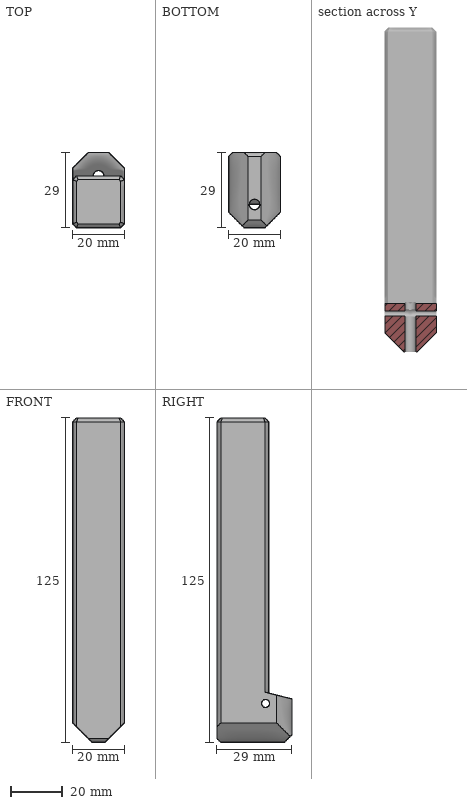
import cadquery as cq

width = 20.0
bar_depth = 20.0
foot_depth = 29.0
height = 125.0

edge_chamfer = 1.5
bottom_side_chamfer = 7.5
heel_side_chamfer = 6.0
heel_bottom_chamfer = 3.0

shoulder_root_height = 19.4
shoulder_heel_height = 16.8
bar_back_flat = bar_depth - edge_chamfer

cross_hole_diameter = 3.0
cross_hole_y = 18.8
cross_hole_height = 15.0
upright_hole_diameter = 4.0
upright_hole_y = bar_depth


def make_bar():
    """Square upright bar with bevelled long edges and top edges."""
    bar = cq.Workplane("XY").box(width, bar_depth, height, centered=(True, False, False))
    return bar.edges("|Z").chamfer(edge_chamfer).faces(">Z").chamfer(edge_chamfer)


def make_foot():
    """Foot under the bar, extended backward to a heel with bevelled sides."""
    shoulder_profile = [
        (edge_chamfer, 0),
        (foot_depth, 0),
        (foot_depth, shoulder_heel_height),
        (bar_back_flat, shoulder_root_height),
        (edge_chamfer, shoulder_root_height),
    ]
    foot = cq.Workplane("YZ").polyline(shoulder_profile).close().extrude(width / 2, both=True)
    return foot.faces(">Y").edges("|Z").chamfer(heel_side_chamfer)


def make_lower_limit():
    """Space left inside the side, front and heel bevels along the bottom."""
    front_profile = [
        (-width / 2, height),
        (-width / 2, bottom_side_chamfer),
        (bottom_side_chamfer - width / 2, 0),
        (width / 2 - bottom_side_chamfer, 0),
        (width / 2, bottom_side_chamfer),
        (width / 2, height),
    ]
    side_profile = [
        (0, height),
        (0, edge_chamfer),
        (edge_chamfer, 0),
        (foot_depth - heel_bottom_chamfer, 0),
        (foot_depth, heel_bottom_chamfer),
        (foot_depth, height),
    ]
    side_limit = cq.Workplane("XZ").polyline(front_profile).close().extrude(-foot_depth)
    end_limit = cq.Workplane("YZ").polyline(side_profile).close().extrude(width / 2, both=True)
    return side_limit.intersect(end_limit)


cross_hole = (
    cq.Workplane("YZ")
    .center(cross_hole_y, cross_hole_height)
    .circle(cross_hole_diameter / 2)
    .extrude(width / 2, both=True)
)

upright_hole = (
    cq.Workplane("XY")
    .center(0, upright_hole_y)
    .circle(upright_hole_diameter / 2)
    .extrude(shoulder_root_height)
)

body = make_bar().union(make_foot()).intersect(make_lower_limit())
result = body.cut(cross_hole).cut(upright_hole)